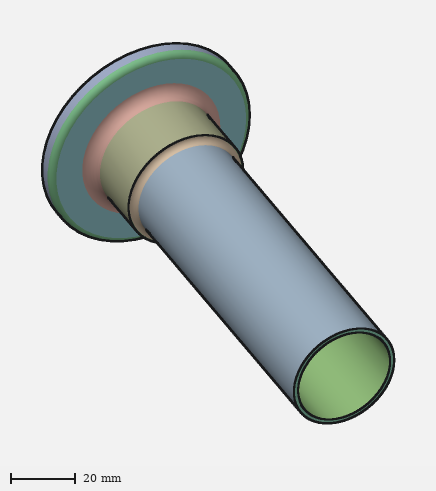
import cadquery as cq

total_length = 135.0
flange_radius = 70.0 / 2
collar_radius = 40.0 / 2
tube_radius = 35.0 / 2
bore_radius = 32.0 / 2

flange_thickness = 6.0
collar_end = 29.0

flange_round = 2.0
neck_fillet = 4.0
tube_fillet = 2.0


def turned_cylinder(radius, length):
    """Cylinder along +X that starts at the flange face."""
    return cq.Workplane("YZ").circle(radius).extrude(length)


def rounded_flange():
    """Flange disc with its rear rim rounded."""
    return turned_cylinder(flange_radius, flange_thickness).faces(">X").edges().fillet(flange_round)


def concave_ring(start_x, shaft_radius, fillet_radius):
    """Ring that blends a shaft into the shoulder at start_x with a concave quarter arc."""
    end_x = start_x + fillet_radius
    outer_radius = shaft_radius + fillet_radius
    return (
        cq.Workplane("XY")
        .moveTo(start_x, bore_radius)
        .lineTo(start_x, outer_radius)
        .radiusArc((end_x, shaft_radius), -fillet_radius)
        .lineTo(end_x, bore_radius)
        .close()
        .revolve(360, (0, 0, 0), (1, 0, 0))
    )


body = rounded_flange()
body = body.union(turned_cylinder(collar_radius, collar_end))
body = body.union(turned_cylinder(tube_radius, total_length))
body = body.union(concave_ring(flange_thickness, collar_radius, neck_fillet))
body = body.union(concave_ring(collar_end, tube_radius, tube_fillet))

result = body.cut(turned_cylinder(bore_radius, total_length))